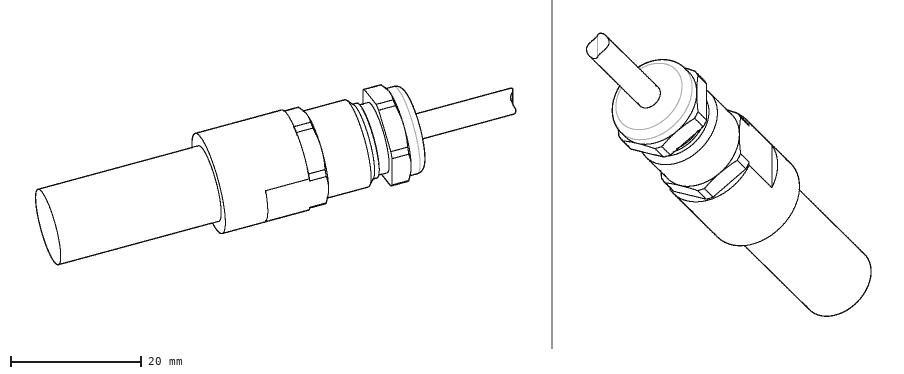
import cadquery as cq

TOTAL_LENGTH = 75.7

PROBE_DIAMETER = 12.0
PROBE_LENGTH = 26.0
HOUSING_DIAMETER = 16.0
HOUSING_END = 40.0
FLAT_START = 32.9

ACROSS_FLATS = 13.9
HEX_CORNER_DIAMETER = 15.4
HEX_LENGTH = 3.1
HEX_CHAMFER_LENGTH = 0.4

GLAND_DIAMETER = ACROSS_FLATS
GLAND_BODY_END = 50.0
SHOULDER_DIAMETER = 11.95
SHOULDER_START = 50.9
SHOULDER_END = 51.7
NECK_DIAMETER = 11.2
NUT_START = 53.4
NUT_END = 59.1
NUT_FILLET = 1.1

CABLE_DIAMETER = 4.0
BREAK_WAVE_HEIGHT = 0.45


def cylinder(diameter, start, end):
    """Round bar along Y between two positions."""
    sketch = cq.Workplane("XZ", origin=(0, start, 0)).circle(diameter / 2)
    return sketch.extrude(start - end)


def cone(start_diameter, end_diameter, start, end):
    """Solid frustum around Y."""
    profile = [(0, start), (start_diameter / 2, start), (end_diameter / 2, end), (0, end)]
    return cq.Workplane("XY").polyline(profile).close().revolve(360, (0, 0, 0), (0, 1, 0))


def chamfered_hexagon(start):
    """Hexagon with flats facing +X and -X, rounded corners, and a conical chamfer at its far end."""
    end = start + HEX_LENGTH
    chamfer_start = end - HEX_CHAMFER_LENGTH
    hexagon = (
        cq.Workplane("XZ", origin=(0, start, 0))
        .polygon(6, ACROSS_FLATS, circumscribed=True)
        .extrude(-HEX_LENGTH)
    )
    envelope = cylinder(HEX_CORNER_DIAMETER, start, chamfer_start).union(
        cone(HEX_CORNER_DIAMETER, ACROSS_FLATS, chamfer_start, end)
    )
    return hexagon.intersect(envelope)


def make_housing():
    """Round housing with two wrench flats level with the hexagon beside it."""
    flatted_length = HOUSING_END - FLAT_START
    collar = cylinder(HOUSING_DIAMETER, PROBE_LENGTH, FLAT_START)
    flatted = cylinder(HOUSING_DIAMETER, FLAT_START, HOUSING_END).intersect(
        cq.Workplane("XY")
        .box(ACROSS_FLATS, flatted_length, HOUSING_DIAMETER)
        .translate((0, FLAT_START + flatted_length / 2, 0))
    )
    return collar.union(flatted)


def make_gland_body():
    """Hexagon, round barrel, conical step, shoulder and neck."""
    return (
        chamfered_hexagon(HOUSING_END)
        .union(cylinder(GLAND_DIAMETER, HOUSING_END + HEX_LENGTH, GLAND_BODY_END))
        .union(cone(GLAND_DIAMETER, SHOULDER_DIAMETER, GLAND_BODY_END, SHOULDER_START))
        .union(cylinder(SHOULDER_DIAMETER, SHOULDER_START, SHOULDER_END))
        .union(cylinder(NECK_DIAMETER, SHOULDER_END, NUT_START))
    )


def make_gland_nut():
    """Hexagon followed by a round cap with a filleted rim."""
    cap = cylinder(GLAND_DIAMETER, NUT_START + HEX_LENGTH, NUT_END)
    cap = cap.faces(">Y").edges().fillet(NUT_FILLET)
    return chamfered_hexagon(NUT_START).union(cap)


def make_sensor():
    """Probe, housing and cable gland as one solid."""
    probe = cylinder(PROBE_DIAMETER, 0, PROBE_LENGTH)
    return probe.union(make_housing()).union(make_gland_body()).union(make_gland_nut())


def make_cable():
    """Cable standing on the nut face, ending in an S-shaped break."""
    radius = CABLE_DIAMETER / 2
    wave_middle = TOTAL_LENGTH - BREAK_WAVE_HEIGHT
    outline = (
        cq.Workplane("XY")
        .moveTo(-radius, NUT_END)
        .lineTo(-radius, wave_middle)
        .threePointArc((-radius / 2, TOTAL_LENGTH), (0, wave_middle))
        .threePointArc((radius / 2, wave_middle - BREAK_WAVE_HEIGHT), (radius, wave_middle))
        .lineTo(radius, NUT_END)
        .close()
        .extrude(radius, both=True)
    )
    return cylinder(CABLE_DIAMETER, NUT_END, TOTAL_LENGTH).intersect(outline)


sensor = make_sensor()
cable = make_cable()

result = cq.Compound.makeCompound([sensor.val(), cable.val()])